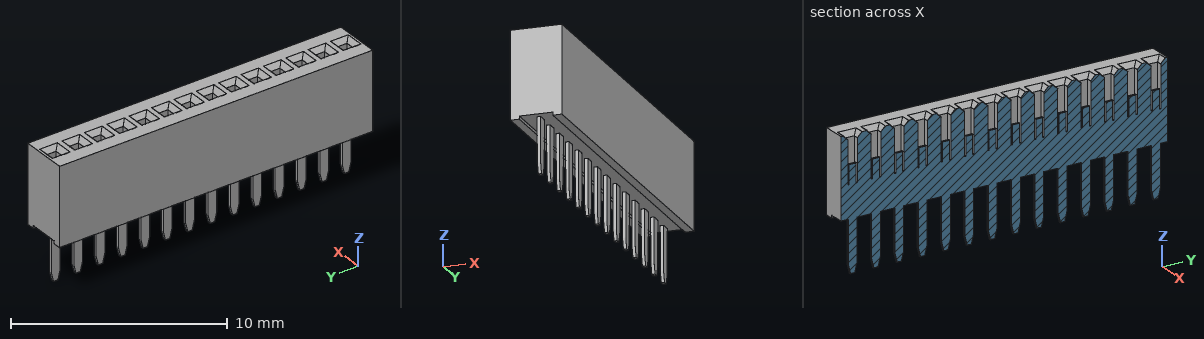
import cadquery as cq

contact_count = 14
pitch = 1.27

body_width = 2 * pitch
body_length = contact_count * pitch
body_height = 4.4
groove_width = 1.65
groove_depth = 0.15

mouth_size = 1.0
mouth_depth = 0.25
socket_size = 0.5
socket_depth = 2.5

overall_height = 7.0
contact_thickness = 0.17
pin_width = 0.5
pin_tip_width = 0.25
pin_taper_length = 0.5
blade_width = 0.4
blade_height = 1.0

pin_tip_z = body_height - overall_height
socket_floor_z = body_height - socket_depth
contact_positions = [
    (0, (index - (contact_count - 1) / 2) * pitch) for index in range(contact_count)
]


def make_housing():
    """Rectangular block with a shallow groove along its underside, leaving a foot on each side."""
    block = cq.Workplane("XY").box(body_width, body_length, body_height, centered=(True, True, False))
    groove = cq.Workplane("XY").box(groove_width, body_length, groove_depth, centered=(True, True, False))
    return block.cut(groove)


def make_socket():
    """Cavity for one contact: a square lead-in funnel above a straight square well."""
    funnel = (
        cq.Workplane("XY", origin=(0, 0, body_height))
        .rect(mouth_size, mouth_size)
        .workplane(offset=-mouth_depth)
        .rect(socket_size, socket_size)
        .loft(ruled=True)
    )
    well = cq.Workplane("XY", origin=(0, 0, socket_floor_z)).box(
        socket_size, socket_size, socket_depth - mouth_depth, centered=(True, True, False)
    )
    return funnel.union(well)


def make_contact():
    """Flat contact: a tapered pin rooted in the housing, with a narrower blade in the socket."""
    pin_outline = [
        (-pin_width / 2, socket_floor_z),
        (-pin_width / 2, pin_tip_z + pin_taper_length),
        (-pin_tip_width / 2, pin_tip_z),
        (pin_tip_width / 2, pin_tip_z),
        (pin_width / 2, pin_tip_z + pin_taper_length),
        (pin_width / 2, socket_floor_z),
    ]
    pin = (
        cq.Workplane("YZ")
        .polyline(pin_outline)
        .close()
        .extrude(contact_thickness / 2, both=True)
    )
    blade = cq.Workplane("XY", origin=(0, 0, socket_floor_z)).box(
        contact_thickness, blade_width, blade_height, centered=(True, True, False)
    )
    return pin.union(blade)


def repeat_along_row(shape):
    """One copy of the shape at every contact position."""
    copies = cq.Workplane("XY").pushPoints(contact_positions)
    return copies.eachpoint(lambda location: shape.val().moved(location), combine=False)


sockets = repeat_along_row(make_socket())
contacts = repeat_along_row(make_contact())

result = make_housing().cut(sockets).union(contacts)